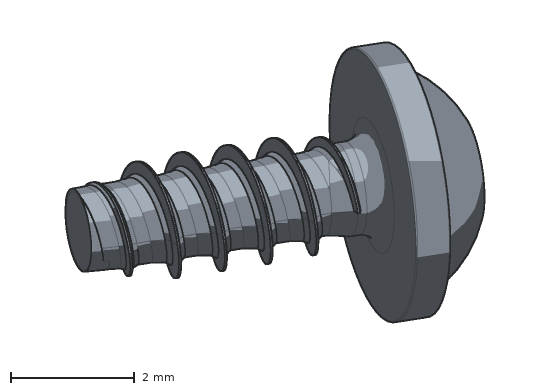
import cadquery as cq
import math

total_length = 6.6
flange_radius = 2.25
flange_thickness = 0.595
flange_edge_round = 0.025
dome_height = 1.0
dome_base_radius = 1.915
dome_top_radius = 0.95
shank_length = total_length - flange_thickness - dome_height

neck_radius = 0.765
neck_fillet = 0.35
neck_end_y = -0.5
core_radius = 0.69
core_start_y = -0.925
tip_radius = 0.67
tip_taper_length = 0.33
tip_hollow_radius = 0.64
tip_hollow_depth = 0.065

pitch = 0.78
thread_start_y = -0.51
thread_turns = 5.45
crest_radius = 1.01
start_crest_radius = 0.86
end_crest_radius = 0.72
run_in_turns = 1.0
run_out_turns = 1.3
segment_turns = 0.5
points_per_segment = 12
root_depth = 0.04
flank_depth = 0.005

ridge_section = [
    (-0.185, 0.0),
    (-0.07, 0.27),
    (-0.02, 1.0),
    (0.02, 1.0),
    (0.06, 0.3),
    (0.145, 0.13),
    (0.43, 0.0),
]


def make_head():
    flange = cq.Workplane("XZ").circle(flange_radius).extrude(-flange_thickness)
    flange = flange.edges().fillet(flange_edge_round)

    centre_height = (dome_top_radius**2 + dome_height**2 - dome_base_radius**2) / (2 * dome_height)
    sphere_radius = math.hypot(dome_base_radius, centre_height)
    mid_height = dome_height / 2
    mid_radius = math.sqrt(sphere_radius**2 - (mid_height - centre_height) ** 2)
    dome = (
        cq.Workplane("XY")
        .moveTo(0, flange_thickness)
        .lineTo(dome_base_radius, flange_thickness)
        .threePointArc(
            (mid_radius, flange_thickness + mid_height),
            (dome_top_radius, flange_thickness + dome_height),
        )
        .lineTo(0, flange_thickness + dome_height)
        .close()
        .revolve(360, (0, 0), (0, 1))
    )
    return flange.union(dome)


def make_shank():
    root_in_head = flange_thickness / 2
    return (
        cq.Workplane("XY")
        .moveTo(0, root_in_head)
        .lineTo(neck_radius + neck_fillet, root_in_head)
        .lineTo(neck_radius + neck_fillet, 0)
        .radiusArc((neck_radius, -neck_fillet), -neck_fillet)
        .lineTo(neck_radius, neck_end_y)
        .lineTo(core_radius, core_start_y)
        .lineTo(core_radius, tip_taper_length - shank_length)
        .lineTo(tip_radius, -shank_length)
        .lineTo(tip_hollow_radius, -shank_length)
        .lineTo(0, tip_hollow_depth - shank_length)
        .close()
        .revolve(360, (0, 0), (0, 1))
    )


def crest_height(turn):
    """Height of the crest above the core after the given number of turns."""
    full = crest_radius - core_radius
    start = start_crest_radius - core_radius
    end = end_crest_radius - core_radius
    run_in = start + (full - start) * turn / run_in_turns
    run_out = end + (full - end) * (thread_turns - turn) / run_out_turns
    return min(full, run_in, run_out)


def make_rail(offset, share, depth, first_turn, last_turn):
    """Right-hand spiral edge that follows one corner of the ridge section."""
    points = []
    for i in range(points_per_segment + 1):
        turn = first_turn + (last_turn - first_turn) * i / points_per_segment
        angle = 2 * math.pi * turn
        radius = core_radius - depth + share * crest_height(turn)
        y = thread_start_y - pitch * turn - offset
        points.append(cq.Vector(radius * math.cos(angle), y, radius * math.sin(angle)))
    return cq.Edge.makeSpline(points)


def make_ridge_segment(first_turn, last_turn):
    corners = [(offset, share, flank_depth) for offset, share in ridge_section]
    corners.append((ridge_section[-1][0], 0, root_depth))
    corners.append((ridge_section[0][0], 0, root_depth))
    rails = [make_rail(*corner, first_turn, last_turn) for corner in corners]

    faces = []
    for i, rail in enumerate(rails):
        next_rail = rails[(i + 1) % len(rails)]
        faces.append(cq.Face.makeRuledSurface(rail, next_rail))
    for end in (0, 1):
        outline = [rail.positionAt(end) for rail in rails]
        faces.append(cq.Face.makeFromWires(cq.Wire.makePolygon(outline, close=True)))
    return cq.Workplane(cq.Solid.makeSolid(cq.Shell.makeShell(faces)).fix())


def add_thread(body):
    limit = cq.Workplane("XZ").circle(2 * crest_radius).extrude(shank_length)
    segment_count = math.ceil(thread_turns / segment_turns)
    for i in range(segment_count):
        first_turn = i * segment_turns
        last_turn = min(first_turn + segment_turns, thread_turns)
        segment = make_ridge_segment(first_turn, last_turn)
        if i == segment_count - 1:
            segment = segment.intersect(limit)
        body = body.union(segment)
    return body


result = add_thread(make_head().union(make_shank()))